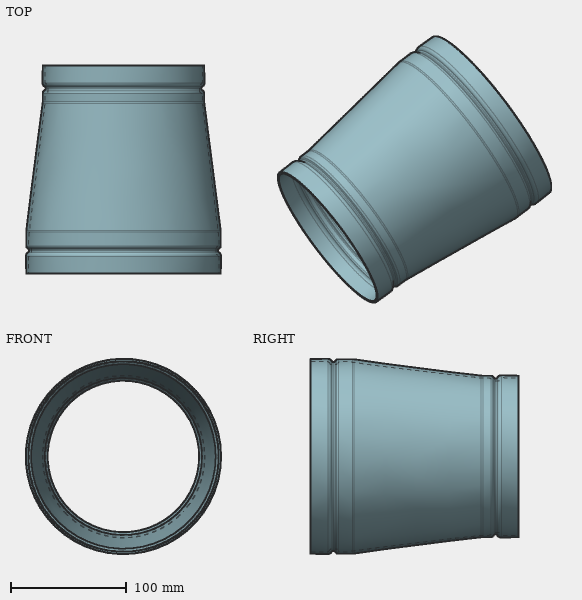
import cadquery as cq
import math


length = 179.83
wall = 2.0
large_radius = 168.28 / 2
small_radius = 139.7 / 2
large_groove_radius = 163.27 / 2
small_groove_radius = 134.52 / 2

lip_rise = 0.335
crest_distance = 14.9
lip_radius = 4.0
shoulder_distance = 24.1
shoulder_radius = 2.5
root_radius = 1.6
shoulder_angle = math.radians(50)
bore_groove_spread = 1.7

small_cone_distance = 31.9
large_cone_distance = 36.8
bend_radius = 11.0
bore_cone_distance = 31.4

large_end_y = -length / 2
small_end_y = length / 2


def line(start, end):
    return cq.Edge.makeLine(cq.Vector(*start), cq.Vector(*end))


def arc(center, radius, start_angle, end_angle):
    """Arc edge about center, with angles measured from +X."""
    angles = (start_angle, (start_angle + end_angle) / 2, end_angle)
    points = [
        cq.Vector(center[0] + radius * math.cos(a), center[1] + radius * math.sin(a))
        for a in angles
    ]
    return cq.Edge.makeThreePointArc(*points)


def end_edges(end_y, inward, pipe, floor, spread, pipe_stop_y):
    """Profile from a pipe end, through its groove, to where the plain pipe stops.

    inward is +1 or -1, the direction along Y into the part.
    pipe and floor are the radii of the plain pipe and of the groove floor.
    spread widens the groove on each side.
    """
    crest = pipe + lip_rise
    crest_at = crest_distance - spread
    shoulder_at = shoulder_distance + spread

    def place(radius, distance):
        return (radius, end_y + inward * distance)

    lip_sum = lip_radius + root_radius
    lip_angle = math.acos(1 - (crest - floor) / lip_sum)
    floor_start = crest_at + lip_sum * math.sin(lip_angle)

    sine = math.sin(shoulder_angle)
    cosine = math.cos(shoulder_angle)
    shoulder_sum = shoulder_radius + root_radius
    flank_drop = pipe - floor - shoulder_sum * (1 - cosine)
    floor_end = shoulder_at - shoulder_sum * sine - flank_drop * cosine / sine
    flank_bottom = place(floor + root_radius * (1 - cosine), floor_end + root_radius * sine)
    flank_top = place(pipe - shoulder_radius * (1 - cosine), shoulder_at - shoulder_radius * sine)

    lip_center = place(crest - lip_radius, crest_at)
    lip_root_center = place(floor + root_radius, floor_start)
    shoulder_root_center = place(floor + root_radius, floor_end)
    shoulder_center = place(pipe - shoulder_radius, shoulder_at)
    lip_turn = inward * lip_angle
    shoulder_turn = inward * shoulder_angle

    return [
        line(place(pipe, 0), place(crest, crest_at)),
        arc(lip_center, lip_radius, 0, lip_turn),
        arc(lip_root_center, root_radius, math.pi + lip_turn, math.pi),
        line(place(floor, floor_start), place(floor, floor_end)),
        arc(shoulder_root_center, root_radius, math.pi, math.pi - shoulder_turn),
        line(flank_bottom, flank_top),
        arc(shoulder_center, shoulder_radius, -shoulder_turn, 0),
        line(place(pipe, shoulder_at), (pipe, pipe_stop_y)),
    ]


def outside_edges():
    """Outside profile, with a tangent bend at both ends of the cone."""
    large_corner_y = large_end_y + large_cone_distance
    small_corner_y = small_end_y - small_cone_distance
    cone_angle = math.atan2(large_radius - small_radius, small_corner_y - large_corner_y)
    bend_setback = bend_radius * math.tan(cone_angle / 2)
    large_bend_y = large_corner_y - bend_setback
    small_bend_y = small_corner_y + bend_setback

    large_bend = arc((large_radius - bend_radius, large_bend_y), bend_radius, 0, cone_angle)
    small_bend = arc(
        (small_radius + bend_radius, small_bend_y), bend_radius, math.pi + cone_angle, math.pi
    )
    cone = cq.Edge.makeLine(large_bend.endPoint(), small_bend.startPoint())
    return (
        end_edges(large_end_y, 1, large_radius, large_groove_radius, 0, large_bend_y)
        + [large_bend, cone, small_bend]
        + end_edges(small_end_y, -1, small_radius, small_groove_radius, 0, small_bend_y)
    )


def bore_edges():
    """Bore profile, with a sharp corner at both ends of the cone."""
    large_bore = large_radius - wall
    small_bore = small_radius - wall
    large_floor = large_groove_radius - wall
    small_floor = small_groove_radius - wall
    large_corner_y = large_end_y + bore_cone_distance
    small_corner_y = small_end_y - bore_cone_distance
    spread = bore_groove_spread
    return (
        end_edges(large_end_y, 1, large_bore, large_floor, spread, large_corner_y)
        + [line((large_bore, large_corner_y), (small_bore, small_corner_y))]
        + end_edges(small_end_y, -1, small_bore, small_floor, spread, small_corner_y)
    )


def end_face_edge(end_y, pipe):
    return line((pipe - wall, end_y), (pipe, end_y))


profile = cq.Wire.assembleEdges(
    outside_edges()
    + [end_face_edge(small_end_y, small_radius)]
    + bore_edges()
    + [end_face_edge(large_end_y, large_radius)]
)

result = cq.Workplane("XY").add(profile).toPending().revolve(360, (0, 0), (0, 1))